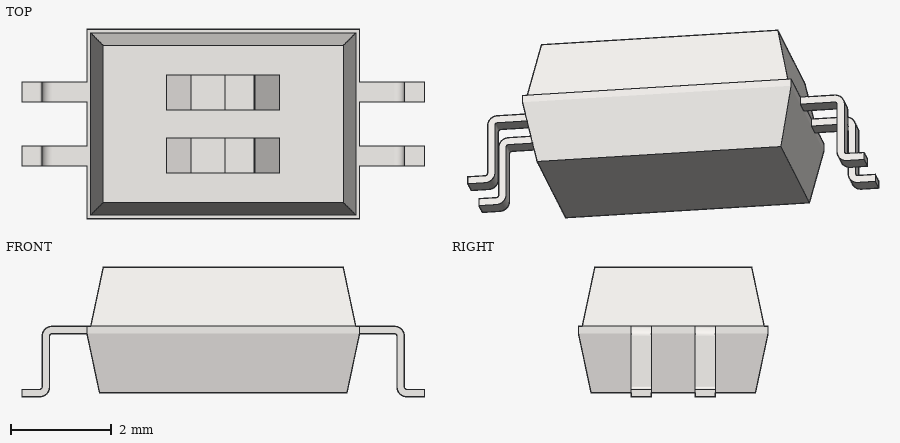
import cadquery as cq
import math


flange_length = 5.42
flange_width = 3.77
flange_thickness = 0.15
housing_height = 2.5
standoff = 0.08
upper_step = 0.075
draft_angle = 12

flange_bottom = standoff + (housing_height - flange_thickness) / 2
flange_top = flange_bottom + flange_thickness
housing_top = standoff + housing_height
half_height = housing_top - flange_top

lead_span = 8.0
lead_pitch = 1.27
lead_width = 0.4
lead_thickness = flange_thickness
shank_outer_x = 3.6
inner_bend_radius = 0.05
outer_bend_radius = inner_bend_radius + lead_thickness
lead_embed = 0.5

window_length = 2.25
window_width = 0.7
window_depth = 0.49
window_center_x = -0.005
window_pitch = 1.256
slider_start_x = 0.03
slider_length = 0.58
slider_recess = 0.09


def row_positions(pitch):
    """Y positions of the two switch rows."""
    return [-pitch / 2, pitch / 2]


def tapered_half(inset, start_z, direction):
    """Drafted housing half growing from start_z up (+1) or down (-1)."""
    base_length = flange_length - 2 * inset
    base_width = flange_width - 2 * inset
    shrink = 2 * half_height * math.tan(math.radians(draft_angle))
    return (
        cq.Workplane("XY", origin=(0, 0, start_z))
        .rect(base_length, base_width)
        .workplane(offset=direction * half_height)
        .rect(base_length - shrink, base_width - shrink)
        .loft(ruled=True)
    )


def make_housing():
    flange = cq.Workplane("XY", origin=(0, 0, flange_bottom)).rect(flange_length, flange_width)
    flange = flange.extrude(flange_thickness)
    upper = tapered_half(upper_step, flange_top, 1)
    lower = tapered_half(0, flange_bottom, -1)
    return flange.union(upper).union(lower)


def make_window(row_y):
    """Cutter for one window: its end walls slope in at 45 degrees down to a flat floor."""
    half_top = window_length / 2
    half_floor = half_top - window_depth
    floor_z = housing_top - window_depth
    return (
        cq.Workplane("XZ", origin=(window_center_x, row_y, 0))
        .moveTo(-half_top, housing_top)
        .lineTo(-half_floor, floor_z)
        .lineTo(half_floor, floor_z)
        .lineTo(half_top, housing_top)
        .close()
        .extrude(window_width / 2, both=True)
    )


def make_slider(row_y):
    """Slider block standing on the window floor, just below the housing top."""
    slider_height = window_depth - slider_recess
    return cq.Workplane("XY").box(
        slider_length, window_width, slider_height, centered=(False, True, False)
    ).translate((slider_start_x, row_y, housing_top - window_depth))


def make_lead(row_y):
    """Gull-wing lead on the +X side: arm, shank and foot bent from one strip."""
    shank_inner_x = shank_outer_x - lead_thickness
    arm_end_x = flange_length / 2 - lead_embed
    tip_x = lead_span / 2
    profile = (
        cq.Workplane("XZ", origin=(0, row_y, 0))
        .moveTo(arm_end_x, flange_top)
        .lineTo(shank_outer_x - outer_bend_radius, flange_top)
        .radiusArc((shank_outer_x, flange_top - outer_bend_radius), outer_bend_radius)
        .lineTo(shank_outer_x, lead_thickness + inner_bend_radius)
        .radiusArc((shank_outer_x + inner_bend_radius, lead_thickness), -inner_bend_radius)
        .lineTo(tip_x, lead_thickness)
        .lineTo(tip_x, 0)
        .lineTo(shank_inner_x + outer_bend_radius, 0)
        .radiusArc((shank_inner_x, outer_bend_radius), outer_bend_radius)
        .lineTo(shank_inner_x, flange_bottom - inner_bend_radius)
        .radiusArc((shank_inner_x - inner_bend_radius, flange_bottom), -inner_bend_radius)
        .lineTo(arm_end_x, flange_bottom)
        .close()
    )
    return profile.extrude(lead_width / 2, both=True)


result = make_housing()

for window_y in row_positions(window_pitch):
    result = result.cut(make_window(window_y))
    result = result.union(make_slider(window_y))

for lead_y in row_positions(lead_pitch):
    lead = make_lead(lead_y)
    result = result.union(lead).union(lead.mirror("YZ"))